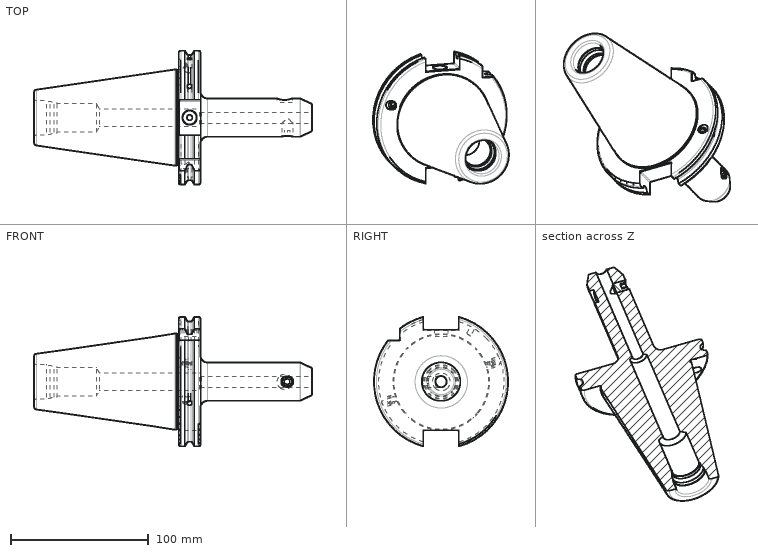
import cadquery as cq
import math

GAUGE_RADIUS = 69.85 / 2
TAPER_LENGTH = 101.75
TAPER_SLOPE = 7 / 48
TAPER_END = 0.5
TAPER_SMALL_RADIUS = GAUGE_RADIUS - TAPER_LENGTH * TAPER_SLOPE
TAPER_LARGE_RADIUS = GAUGE_RADIUS + TAPER_END * TAPER_SLOPE
TAPER_FILLET = 2.0
RELIEF_START = 1.6
RELIEF_RADIUS = 34.4
RELIEF_FILLET = 0.5

FLANGE_RADIUS = 97.5 / 2
FLANGE_START = 3.2
FLANGE_END = 19.1
FLANGE_FILLET = 1.6
GROOVE_CENTER = 11.2
GROOVE_FLOOR_RADIUS = 45.5
GROOVE_FLOOR_WIDTH = 3.0
GROOVE_HALF_ANGLE = math.radians(30)
GROOVE_DEPTH = FLANGE_RADIUS - GROOVE_FLOOR_RADIUS
GROOVE_RIM_WIDTH = GROOVE_FLOOR_WIDTH + 2 * GROOVE_DEPTH * math.tan(GROOVE_HALF_ANGLE)
GROOVE_FILLET = 1.1

SLOT_WIDTH = 25.7
TOP_SLOT_FLOOR = 37.7
BOTTOM_SLOT_FLOOR = 35.4
NOTCH_OFFSET = 30.0
NOTCH_SIZE = FLANGE_RADIUS - NOTCH_OFFSET
NOTCH_CENTER = NOTCH_OFFSET + NOTCH_SIZE / 2
SLOT_CHAMFER = 0.5
SLOT_CORNER_FILLET = 0.8

CARRIER_RADIUS = 5.0
CARRIER_DEPTH = 4.6
CARRIER_CHAMFER = 0.3
CARRIER_TIP_RADIUS = 2.0

COOLANT_ANGLES = (20, 200)
COOLANT_ENTRY_RADIUS = 41.6
COOLANT_TILT = 35
COOLANT_COUNTERBORE_RADIUS = 3.3
COOLANT_COUNTERBORE_DEPTH = 5.0
COOLANT_RADIUS = 2.0
COOLANT_LENGTH = (GROOVE_CENTER - FLANGE_START) / math.cos(math.radians(COOLANT_TILT))
COOLANT_END_RADIUS = COOLANT_ENTRY_RADIUS - COOLANT_LENGTH * math.sin(math.radians(COOLANT_TILT))

RADIAL_HOLE_RADIUS = 1.7
SINGLE_HOLE_ANGLE = 60
SINGLE_HOLE_DEPTH = 6.0

NOSE_RADIUS = 14.0
NOSE_END = 100.0
NOSE_ROOT_FILLET = 5.0
NOSE_CONE_START = 91.3
NOSE_CONE_ANGLE = math.radians(25)
NOSE_CONE_FILLET = 1.5
NOSE_TIP_RADIUS = NOSE_RADIUS - (NOSE_END - NOSE_CONE_START) * math.tan(NOSE_CONE_ANGLE)
NOSE_TIP_FILLET = 1.2

STUD_BORE_RADIUS = 12.5
STUD_BORE_DEPTH = 9.0
STUD_BORE_FILLET = 1.4
SHOULDER_RADIUS = 12.0
SHOULDER_DEPTH = 11.5
COUNTERSINK_DEPTH = 14.4
THREAD_RADIUS = 10.9
THREAD_DEPTH = 16.5
CORE_RADIUS = 10.4
CORE_DEPTH = 45.0
STEP_RADIUS = 6.4
STEP_DEPTH = 120.0
TOOL_BORE_RADIUS = 4.0
DRILL_POINT_HALF_ANGLE = math.radians(59)

SCREW_X = 82.0
SCREW_RADIUS = 4.0
SCREW_OUTER_Y = -13.2
SCREW_CHAMFER = 0.5
SCREW_HOLE_MOUTH_RADIUS = 4.5
SOCKET_WIDTH = 4.0
SOCKET_DEPTH = 4.0

BALANCE_X = 80.0
BALANCE_RADIUS = 5.5
BALANCE_DEPTH = 3.0


def drill_point(radius_drop):
    """Length over which a drill point narrows by the given radius."""
    return radius_drop / math.tan(DRILL_POINT_HALF_ANGLE)


def revolve_x(points):
    """Solid of revolution about X from (x, radius) points; both ends lie on the axis."""
    return cq.Workplane("XY").polyline(points).close().revolve(360, (0, 0, 0), (1, 0, 0))


def fillet_ring(body, x, ring_radius, fillet):
    """Fillet the circular edge of the given radius that lies in the plane at x."""

    def is_ring(edge):
        at_plane = abs(edge.Center().x - x) < 1e-3
        return edge.geomType() == "CIRCLE" and at_plane and abs(edge.radius() - ring_radius) < 1e-3

    return body.newObject(body.edges().filter(is_ring).vals()).fillet(fillet)


def make_blank():
    """Outside of the holder: taper, grooved flange and nose."""
    half_floor = GROOVE_FLOOR_WIDTH / 2
    half_rim = GROOVE_RIM_WIDTH / 2
    body = revolve_x(
        [
            (-TAPER_LENGTH, 0),
            (-TAPER_LENGTH, TAPER_SMALL_RADIUS),
            (TAPER_END, TAPER_LARGE_RADIUS),
            (RELIEF_START, TAPER_LARGE_RADIUS),
            (RELIEF_START, RELIEF_RADIUS),
            (FLANGE_START, RELIEF_RADIUS),
            (FLANGE_START, FLANGE_RADIUS),
            (GROOVE_CENTER - half_rim, FLANGE_RADIUS),
            (GROOVE_CENTER - half_floor, GROOVE_FLOOR_RADIUS),
            (GROOVE_CENTER + half_floor, GROOVE_FLOOR_RADIUS),
            (GROOVE_CENTER + half_rim, FLANGE_RADIUS),
            (FLANGE_END, FLANGE_RADIUS),
            (FLANGE_END, NOSE_RADIUS),
            (NOSE_CONE_START, NOSE_RADIUS),
            (NOSE_END, NOSE_TIP_RADIUS),
            (NOSE_END, 0),
        ]
    )
    rounded_rings = [
        (-TAPER_LENGTH, TAPER_SMALL_RADIUS, TAPER_FILLET),
        (RELIEF_START, RELIEF_RADIUS, RELIEF_FILLET),
        (FLANGE_START, RELIEF_RADIUS, RELIEF_FILLET),
        (FLANGE_START, FLANGE_RADIUS, FLANGE_FILLET),
        (GROOVE_CENTER - half_floor, GROOVE_FLOOR_RADIUS, GROOVE_FILLET),
        (GROOVE_CENTER + half_floor, GROOVE_FLOOR_RADIUS, GROOVE_FILLET),
        (FLANGE_END, FLANGE_RADIUS, FLANGE_FILLET),
        (FLANGE_END, NOSE_RADIUS, NOSE_ROOT_FILLET),
        (NOSE_CONE_START, NOSE_RADIUS, NOSE_CONE_FILLET),
        (NOSE_END, NOSE_TIP_RADIUS, NOSE_TIP_FILLET),
    ]
    for x, ring_radius, fillet in rounded_rings:
        body = fillet_ring(body, x, ring_radius, fillet)
    return body


def cut_bore(body):
    """Stepped bore from the rounded pull stud mouth through to the nose."""
    bore = revolve_x(
        [
            (0, 0),
            (0, STUD_BORE_RADIUS),
            (STUD_BORE_DEPTH, STUD_BORE_RADIUS),
            (STUD_BORE_DEPTH, SHOULDER_RADIUS),
            (SHOULDER_DEPTH, SHOULDER_RADIUS),
            (COUNTERSINK_DEPTH, THREAD_RADIUS),
            (THREAD_DEPTH, THREAD_RADIUS),
            (THREAD_DEPTH, CORE_RADIUS),
            (CORE_DEPTH, CORE_RADIUS),
            (CORE_DEPTH + drill_point(CORE_RADIUS - STEP_RADIUS), STEP_RADIUS),
            (STEP_DEPTH, STEP_RADIUS),
            (STEP_DEPTH + drill_point(STEP_RADIUS - TOOL_BORE_RADIUS), TOOL_BORE_RADIUS),
            (TAPER_LENGTH + NOSE_END, TOOL_BORE_RADIUS),
            (TAPER_LENGTH + NOSE_END, 0),
        ]
    )
    body = body.cut(bore.translate((-TAPER_LENGTH, 0, 0)))
    return fillet_ring(body, -TAPER_LENGTH, STUD_BORE_RADIUS, STUD_BORE_FILLET)


def slot_cutter(y_min, y_max, floor):
    """Upward slot along X through the flange, with its front floor edge chamfered."""
    return (
        cq.Workplane("XZ", origin=(0, y_max, 0))
        .moveTo(FLANGE_START, floor - SLOT_CHAMFER)
        .lineTo(FLANGE_START + SLOT_CHAMFER, floor)
        .lineTo(FLANGE_END, floor)
        .lineTo(FLANGE_END, FLANGE_RADIUS)
        .lineTo(FLANGE_START, FLANGE_RADIUS)
        .close()
        .extrude(y_max - y_min)
    )


def drive_slot_cutter(floor):
    """Slot centred on the axis, with rounded floor corners."""
    slot = slot_cutter(-SLOT_WIDTH / 2, SLOT_WIDTH / 2, floor)
    return slot.edges("|X").edges("<Z").fillet(SLOT_CORNER_FILLET)


def notch_section(x, size, corner_fillet):
    """Rounded square in the plane at x, centred on the notch."""
    square = cq.Sketch().rect(size, size).vertices().fillet(corner_fillet)
    return cq.Workplane("YZ", origin=(x, -NOTCH_CENTER, NOTCH_CENTER)).placeSketch(square)


def notch_cutter():
    """Square corner notch, equally far from the axis in Y and Z, chamfered at the front."""
    mouth = notch_section(FLANGE_START, NOTCH_SIZE + 2 * SLOT_CHAMFER, SLOT_CORNER_FILLET + SLOT_CHAMFER)
    notch = notch_section(FLANGE_START, NOTCH_SIZE, SLOT_CORNER_FILLET)
    return notch.extrude(FLANGE_END - FLANGE_START).union(mouth.extrude(SLOT_CHAMFER, taper=45))


def cut_slots(body):
    top = drive_slot_cutter(TOP_SLOT_FLOOR)
    bottom = drive_slot_cutter(BOTTOM_SLOT_FLOOR).rotate((0, 0, 0), (1, 0, 0), 180)
    return body.cut(top).cut(bottom).cut(notch_cutter())


def cut_carrier_hole(body):
    """Flat-bottomed hole in the top slot with a chamfered mouth and a small conical centre."""
    top_radius = CARRIER_RADIUS + CARRIER_CHAMFER
    pocket = (
        cq.Workplane("XZ")
        .polyline(
            [
                (0, 0),
                (top_radius, 0),
                (CARRIER_RADIUS, -CARRIER_CHAMFER),
                (CARRIER_RADIUS, -CARRIER_DEPTH),
                (CARRIER_TIP_RADIUS, -CARRIER_DEPTH),
                (0, -CARRIER_DEPTH - drill_point(CARRIER_TIP_RADIUS)),
            ]
        )
        .close()
        .revolve(360, (0, 0, 0), (0, 1, 0))
    )
    return body.cut(pocket.translate((GROOVE_CENTER, 0, TOP_SLOT_FLOOR)))


def radial_hole(inner_radius):
    """Hole along +Y from the given radius out through the groove."""
    return (
        cq.Workplane("XZ", origin=(GROOVE_CENTER, FLANGE_RADIUS, 0))
        .circle(RADIAL_HOLE_RADIUS)
        .extrude(FLANGE_RADIUS - inner_radius)
    )


def cut_flange_holes(body):
    """Two inclined coolant holes, each met by a radial hole, and one plain radial hole."""
    overrun = COOLANT_COUNTERBORE_RADIUS * math.tan(math.radians(COOLANT_TILT))
    inclined = revolve_x(
        [
            (-overrun, 0),
            (-overrun, COOLANT_COUNTERBORE_RADIUS),
            (COOLANT_COUNTERBORE_DEPTH, COOLANT_COUNTERBORE_RADIUS),
            (COOLANT_COUNTERBORE_DEPTH, COOLANT_RADIUS),
            (COOLANT_LENGTH, COOLANT_RADIUS),
            (COOLANT_LENGTH, 0),
        ]
    )
    inclined = inclined.rotate((0, 0, 0), (0, 0, 1), -COOLANT_TILT)
    inclined = inclined.translate((FLANGE_START, COOLANT_ENTRY_RADIUS, 0))
    coolant = inclined.union(radial_hole(COOLANT_END_RADIUS))
    for angle in COOLANT_ANGLES:
        body = body.cut(coolant.rotate((0, 0, 0), (1, 0, 0), angle))
    single = radial_hole(GROOVE_FLOOR_RADIUS - SINGLE_HOLE_DEPTH)
    return body.cut(single.rotate((0, 0, 0), (1, 0, 0), SINGLE_HOLE_ANGLE))


def cut_screw_hole(body):
    """Hole for the clamping screw from the tool bore to -Y, countersunk at the surface."""
    countersink = SCREW_HOLE_MOUTH_RADIUS - SCREW_RADIUS
    hole = (
        cq.Workplane("XZ", origin=(SCREW_X, 0, 0))
        .circle(SCREW_RADIUS)
        .extrude(NOSE_RADIUS - countersink)
        .faces("<Y")
        .workplane()
        .circle(SCREW_RADIUS)
        .workplane(offset=countersink)
        .circle(SCREW_HOLE_MOUTH_RADIUS)
        .loft()
    )
    return body.cut(hole)


def cut_balance_hole(body):
    hole = (
        cq.Workplane("XZ", origin=(BALANCE_X, NOSE_RADIUS, 0))
        .circle(BALANCE_RADIUS)
        .extrude(BALANCE_DEPTH)
    )
    return body.cut(hole)


def make_holder():
    body = cut_bore(make_blank())
    body = cut_slots(body)
    body = cut_carrier_hole(body)
    body = cut_flange_holes(body)
    body = cut_screw_hole(body)
    return cut_balance_hole(body)


def make_screw():
    """Set screw with a hexagon socket, standing on the edge of the tool bore."""
    screw = (
        cq.Workplane("XZ", origin=(SCREW_X, -TOOL_BORE_RADIUS, 0))
        .circle(SCREW_RADIUS)
        .extrude(-SCREW_OUTER_Y - TOOL_BORE_RADIUS)
        .faces("<Y")
        .chamfer(SCREW_CHAMFER)
    )
    socket = (
        cq.Workplane("XZ", origin=(SCREW_X, SCREW_OUTER_Y, 0))
        .polygon(6, SOCKET_WIDTH, circumscribed=True)
        .extrude(-SOCKET_DEPTH)
    )
    return screw.cut(socket)


holder = make_holder().solids()
screw = make_screw().solids()
result = cq.Compound.makeCompound([holder.val(), screw.val()])